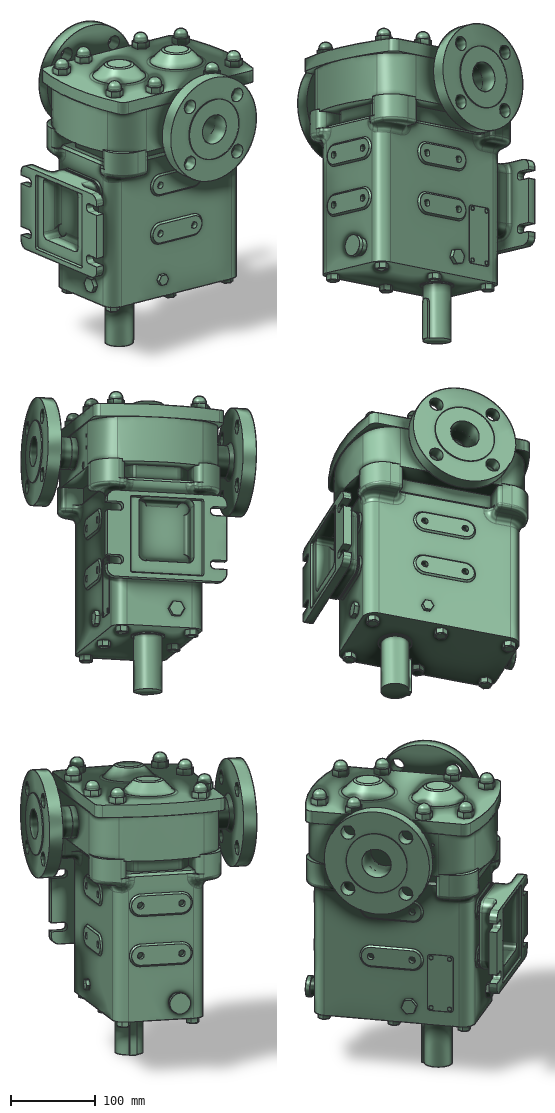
import cadquery as cq
import math

ROTOR_SPACING = 85.0
TOUCHING = 0.0005

SHAFT_Y = -ROTOR_SPACING / 2
SHAFT_RADIUS = 16.5
SEAL_RADIUS = 20.0
SEAL_HEIGHT = 1.5
KEY_WIDTH = 8.5
KEY_LENGTH = 48.5
KEY_REACH = 19.0
KEY_END_ROUNDING = 0.49

GEARBOX_BOTTOM = 67.5
GEARBOX_TOP = 245.0
GEARBOX_HALF_X = 55.0
GEARBOX_HALF_Y = 97.2
GEARBOX_CORNER = 15.3
GEARBOX_CHAMFER = 3.2

NECK_HALF_X = 52.0
NECK_HALF_Y = 87.0
NECK_END_HALF_X = 28.0
NECK_SIDE_HALF_Y = 62.0
NECK_NOTCH_X = 44.5
NECK_NOTCH_Y = 64.5
NECK_CORNER = 5.5

HOUSING_BOTTOM = 262.5
HOUSING_TOP = 316.0
HOUSING_HALF_X = 78.5
HOUSING_HALF_Y = 109.5
HOUSING_CORNER = 40.0
HOUSING_BULGE = 152.5

COVER_TOP = 331.0
COVER_HALF_X = 79.5
COVER_HALF_Y = 110.5
COVER_CORNER = 10.0
COVER_BULGE = 252.0

BOSS_BOTTOM = 233.0
BOSS_TOP = 265.3
BOSS_INNER_X = 42.2
BOSS_INNER_Y = 59.0
BOSS_OUTER_X = 78.5
BOSS_OUTER_Y = 104.0
BOSS_OUTER_CORNER = 28.5
BOSS_END_CORNER = 9.2
BOSS_INNER_CORNER = 7.0
BOSS_EDGE_FILLET = 5.0
BOSS_ROOT_FILLET = 10.0

DOME_FOOT_RADIUS = 34.8
DOME_BASE_RADIUS = 31.2
DOME_SHOULDER_RADIUS = 17.5
DOME_TOP_RADIUS = 14.2
DOME_FOOT_HEIGHT = 1.0
DOME_HEIGHT = 16.0

NUT_FLATS = 17.7
NUT_HEX_HEIGHT = 7.5
NUT_COLLAR_HEIGHT = 2.0
NUT_DOME_RADIUS = 8.0
CORNER_NUT_X = 50.7
CORNER_NUT_Y = 88.5
SIDE_NUT_X = 68.5

PORT_Z = 291.0
STUB_RADIUS = 19.0
STUB_END_X = 86.0
PORT_BORE_RADIUS = 17.7
FLANGE_BACK_X = 110.3
FLANGE_FRONT_X = 126.5
FLANGE_RADIUS = 64.0
RAISED_FACE_RADIUS = 37.0
RAISED_FACE_X = 128.0
HUB_RADIUS = 23.0
HUB_LENGTH = 5.0
FLANGE_HOLE_OFFSET = 35.0
FLANGE_HOLE_RADIUS = 8.35

PAD_LOWER_Z = 147.0
PAD_UPPER_Z = 207.0
PAD_LENGTH = 77.0
PAD_WIDTH = 27.3
PAD_HEIGHT = 2.0
PAD_SIDE_SLOPE = 45.0
PAD_HOLE_SPACING = 50.5
PAD_HOLE_RADIUS = 4.0
PAD_HOLE_DEPTH = 7.0

FOOT_FRONT_Y = -132.3
FOOT_PLATE_THICKNESS = 10.0
FOOT_HALF_X = 72.7
FOOT_BOTTOM = 117.0
FOOT_TOP = 220.5
FOOT_CORNER = 10.0
FOOT_SLOT_Z = (137.5, 202.0)
FOOT_SLOT_WIDTH = 10.5
FOOT_SLOT_INNER_X = 53.0
BOX_HALF_X = 39.0
BOX_BOTTOM = 132.5
BOX_CORNER = 14.0
BOX_REAR_FILLET = 4.3
BOX_ROOT_FILLET = 4.5
RECESS_HALF_X = 44.7
RECESS_BOTTOM = 122.7
RECESS_TOP = 215.3
RECESS_CORNER = 3.0
RECESS_DEPTH = 3.0
RECESS_INSET = 1.5
POCKET_WALL = 5.5
POCKET_FILLET = 6.0
POCKET_CORNER_RADIUS = 7.5

ACCESSORY_Z = 89.0
PLUG_X = 20.0
PLUG_FLATS = 16.3
PLUG_HEIGHT = 5.5
SIDE_PLUG_Y = -22.0
SIDE_PLUG_TURN = 10.0
SMALL_PLUG_FLATS = 12.0
SMALL_PLUG_HEIGHT = 4.5
GLASS_FLANGE_RADIUS = 12.6
GLASS_BODY_RADIUS = 10.5
GLASS_BODY_LENGTH = 8.0

BOTTOM_BOLT_X = 42.2
BOTTOM_BOLT_Y = 84.8
BOTTOM_BOLT_FLATS = 13.5
BOTTOM_BOLT_HEIGHT = 7.8
BOTTOM_BOLT_CHAMFER = 1.0

PLATE_Y = -59.2
PLATE_Z = 120.2
PLATE_WIDTH = 31.2
PLATE_HEIGHT = 70.2
PLATE_THICKNESS = 0.7
PLATE_CORNER = 3.5
RIVET_SPACING_Y = 22.5
RIVET_SPACING_Z = 62.5
RIVET_RADIUS = 2.5
RIVET_HEIGHT = 0.7

SENSOR_HOLE_Y = -55.7
SENSOR_HOLE_Z = (287.0, 301.0)
SENSOR_HOLE_RADIUS = 1.8
DRAIN_HOLE_Y = -41.0
DRAIN_HOLE_Z = 268.0
DRAIN_HOLE_RADIUS = 4.0
HOUSING_HOLE_DEPTH = 7.0


def span(x_range, y_range, z_range):
    """Box between the given limits on each axis."""
    size = [high - low for low, high in (x_range, y_range, z_range)]
    return cq.Workplane("XY", origin=(x_range[0], y_range[0], z_range[0])).box(*size, centered=False)


def face_plane(origin, normal):
    """Workplane on an upright face, with its local Y pointing up."""
    side = cq.Vector(0, 0, 1).cross(cq.Vector(*normal))
    return cq.Workplane(cq.Plane(origin, side.toTuple(), normal))


def hexagon(plane, flats, height, turn=0.0):
    """Hexagonal prism with corners on the local X axis, turned by an angle in degrees."""
    across_corners = flats / math.cos(math.pi / 6)
    return plane.transformed(rotate=(0, 0, turn)).polygon(6, across_corners).extrude(height)


def bowed_block(half_x, half_y, bulge, corner, bottom, top):
    """Block with flat X sides, bowed Y sides and rounded corners."""
    edge_y = half_y - bulge + math.sqrt(bulge**2 - half_x**2)
    block = (
        cq.Workplane("XY", origin=(0, 0, bottom))
        .moveTo(-half_x, -edge_y)
        .threePointArc((0, -half_y), (half_x, -edge_y))
        .lineTo(half_x, edge_y)
        .threePointArc((0, half_y), (-half_x, edge_y))
        .close()
        .extrude(top - bottom)
    )
    return block.edges("|Z").fillet(corner)


def gearbox():
    block = span(
        (-GEARBOX_HALF_X, GEARBOX_HALF_X),
        (-GEARBOX_HALF_Y, GEARBOX_HALF_Y),
        (GEARBOX_BOTTOM, GEARBOX_TOP),
    )
    return block.edges("|Z").fillet(GEARBOX_CORNER).faces(">Z").chamfer(GEARBOX_CHAMFER)


def corner_boss():
    """Boss under the (+X, +Y) corner of the rotor housing, blended into the gearbox wall."""
    wall_top = GEARBOX_TOP - GEARBOX_CHAMFER
    wall_bottom = BOSS_BOTTOM - 2 * BOSS_ROOT_FILLET
    wall = span((0, GEARBOX_HALF_X), (0, GEARBOX_HALF_Y), (wall_bottom, BOSS_TOP))
    wall = wall.edges("|Z and >X and >Y").fillet(GEARBOX_CORNER)

    overshoot = 2 * BOSS_ROOT_FILLET
    block = span(
        (BOSS_INNER_X, BOSS_OUTER_X + overshoot),
        (BOSS_INNER_Y, BOSS_OUTER_Y + overshoot),
        (BOSS_BOTTOM, BOSS_TOP),
    )
    block = block.edges("|Z and <X and <Y").fillet(BOSS_INNER_CORNER)
    block = block.faces("<Z").edges("not(>X or >Y)").fillet(BOSS_EDGE_FILLET)
    blend = wall.union(block)
    root_start = cq.Vertex.makeVertex(GEARBOX_HALF_X, BOSS_INNER_Y, (BOSS_BOTTOM + BOSS_TOP) / 2)
    root = [edge for edge in blend.edges("|Z").vals() if edge.distance(root_start) < TOUCHING]
    blend = blend.newObject(root).fillet(BOSS_ROOT_FILLET)

    trim = span((0, BOSS_OUTER_X), (0, BOSS_OUTER_Y), (wall_bottom, BOSS_TOP))
    boss = blend.intersect(trim.edges("|Z and >X and >Y").fillet(BOSS_OUTER_CORNER))
    boss = boss.faces(">X").edges("<Z").fillet(BOSS_EDGE_FILLET)

    outline = span((BOSS_INNER_X, BOSS_OUTER_X), (BOSS_INNER_Y, BOSS_OUTER_Y), (wall_top, BOSS_TOP))
    outline = outline.edges("|Z and <X and >Y").fillet(BOSS_END_CORNER)
    outline = outline.edges("|Z and <X and <Y").fillet(BOSS_INNER_CORNER)
    below = span((0, BOSS_OUTER_X), (0, BOSS_OUTER_Y), (wall_bottom, wall_top))
    return boss.intersect(outline.union(below))


def bosses():
    boss = corner_boss()
    pair = boss.union(boss.mirror("YZ"))
    return pair.union(pair.mirror("XZ"))


def neck():
    """Narrow part between the gearbox and the rotor housing."""
    quarter = [
        (0, 0),
        (NECK_HALF_X, 0),
        (NECK_HALF_X, NECK_SIDE_HALF_Y),
        (NECK_NOTCH_X, NECK_NOTCH_Y),
        (NECK_END_HALF_X, NECK_HALF_Y),
        (0, NECK_HALF_Y),
    ]
    block = cq.Workplane("XY", origin=(0, 0, GEARBOX_TOP)).polyline(quarter).close()
    block = block.extrude(HOUSING_BOTTOM - GEARBOX_TOP)
    block = block.union(block.mirror("YZ"))
    block = block.union(block.mirror("XZ")).clean()
    ends = block.faces("<Y or >Y").edges("|Z")
    return ends.fillet(NECK_CORNER).faces("<X or >X").edges("|Z").fillet(NECK_CORNER)


def rotor_housing():
    housing = bowed_block(
        HOUSING_HALF_X, HOUSING_HALF_Y, HOUSING_BULGE, HOUSING_CORNER, HOUSING_BOTTOM, HOUSING_TOP
    )
    side = -HOUSING_HALF_X
    for z in SENSOR_HOLE_Z:
        hole = face_plane((side, SENSOR_HOLE_Y, z), (1, 0, 0)).circle(SENSOR_HOLE_RADIUS)
        housing = housing.cut(hole.extrude(HOUSING_HOLE_DEPTH))
    drain = face_plane((side, DRAIN_HOLE_Y, DRAIN_HOLE_Z), (1, 0, 0)).circle(DRAIN_HOLE_RADIUS)
    return housing.cut(drain.extrude(HOUSING_HOLE_DEPTH))


def cover():
    return bowed_block(COVER_HALF_X, COVER_HALF_Y, COVER_BULGE, COVER_CORNER, HOUSING_TOP, COVER_TOP)


def rotor_dome(y):
    """Conical dome on the cover, over one rotor."""
    shoulder_height = DOME_FOOT_HEIGHT + DOME_BASE_RADIUS - DOME_SHOULDER_RADIUS
    profile = (
        cq.Workplane("XZ", origin=(0, y, COVER_TOP))
        .lineTo(DOME_FOOT_RADIUS, 0)
        .lineTo(DOME_BASE_RADIUS, DOME_FOOT_HEIGHT)
        .lineTo(DOME_SHOULDER_RADIUS, shoulder_height)
        .lineTo(DOME_TOP_RADIUS, DOME_HEIGHT)
        .lineTo(0, DOME_HEIGHT)
        .close()
    )
    return profile.revolve(360, (0, 0, 0), (0, 1, 0))


def cap_nut(x, y):
    """Hexagon nut with a collar and a round cap."""
    collar_top = COVER_TOP + NUT_HEX_HEIGHT + NUT_COLLAR_HEIGHT
    base = cq.Workplane("XY", origin=(x, y, COVER_TOP))
    collar = base.circle(NUT_DOME_RADIUS).extrude(NUT_HEX_HEIGHT + NUT_COLLAR_HEIGHT)
    cap = cq.Workplane("XY", origin=(x, y, collar_top)).sphere(NUT_DOME_RADIUS)
    return hexagon(base, NUT_FLATS, NUT_HEX_HEIGHT).union(collar).union(cap)


def port_stub(side):
    """Short pipe stub on the rotor housing; side is -1 or +1."""
    return face_plane((0, 0, PORT_Z), (side, 0, 0)).circle(STUB_RADIUS).extrude(STUB_END_X)


def mounting_pad(origin, normal):
    """Oblong pad with sloping sides."""
    return face_plane(origin, normal).slot2D(PAD_LENGTH, PAD_WIDTH).extrude(PAD_HEIGHT, taper=PAD_SIDE_SLOPE)


def pad_holes(origin, normal):
    """Cutter for the bolt holes of one pad, as deep as PAD_HOLE_DEPTH below the pad face."""
    outside = cq.Vector(*origin) + cq.Vector(*normal) * PAD_HEIGHT
    holes = face_plane(outside.toTuple(), normal).rarray(PAD_HOLE_SPACING, 3.5, 2, 1)
    return holes.circle(PAD_HOLE_RADIUS).extrude(-PAD_HOLE_DEPTH)


def foot_plate():
    plate = span(
        (-FOOT_HALF_X, FOOT_HALF_X),
        (FOOT_FRONT_Y, FOOT_FRONT_Y + FOOT_PLATE_THICKNESS),
        (FOOT_BOTTOM, FOOT_TOP),
    )
    plate = plate.edges("|Y").fillet(FOOT_CORNER)
    slot_length = 2 * (FOOT_HALF_X - FOOT_SLOT_INNER_X)
    for x in (-FOOT_HALF_X, FOOT_HALF_X):
        for z in FOOT_SLOT_Z:
            slot = face_plane((x, FOOT_FRONT_Y, z), (0, 1, 0)).slot2D(slot_length, FOOT_SLOT_WIDTH)
            plate = plate.cut(slot.extrude(FOOT_PLATE_THICKNESS))
    return plate


def foot():
    """Hollow mounting foot that stands on the two front pads."""
    rear = -GEARBOX_HALF_Y - 2 * PAD_HEIGHT
    plate_back = FOOT_FRONT_Y + FOOT_PLATE_THICKNESS
    box = span((-BOX_HALF_X, BOX_HALF_X), (plate_back, rear), (BOX_BOTTOM, FOOT_TOP))
    box = box.edges("|Y").fillet(BOX_CORNER).faces(">Y").edges().fillet(BOX_REAR_FILLET)
    body = foot_plate().union(box)
    root = cq.selectors.BoxSelector(
        (-BOX_HALF_X - TOUCHING, plate_back - TOUCHING, BOX_BOTTOM - TOUCHING),
        (BOX_HALF_X + TOUCHING, plate_back + TOUCHING, FOOT_TOP - TOUCHING),
    )
    body = body.edges(root).fillet(BOX_ROOT_FILLET)

    outline = cq.Sketch().rect(2 * RECESS_HALF_X, RECESS_TOP - RECESS_BOTTOM).vertices().fillet(RECESS_CORNER)
    recess = (
        face_plane((0, FOOT_FRONT_Y, (RECESS_BOTTOM + RECESS_TOP) / 2), (0, 1, 0))
        .placeSketch(outline)
        .extrude(RECESS_DEPTH, taper=math.degrees(math.atan(RECESS_INSET / RECESS_DEPTH)))
    )

    half_x = BOX_HALF_X - POCKET_WALL
    bottom = BOX_BOTTOM + POCKET_WALL
    top = FOOT_TOP - POCKET_WALL
    floor = rear - POCKET_WALL
    pocket = span((-half_x, half_x), (FOOT_FRONT_Y, floor), (bottom, top))
    pocket = pocket.edges("|Y").fillet(POCKET_CORNER_RADIUS).faces(">Y").edges().fillet(POCKET_FILLET)
    for x in (-half_x + POCKET_CORNER_RADIUS, half_x - POCKET_CORNER_RADIUS):
        for z in (bottom + POCKET_CORNER_RADIUS, top - POCKET_CORNER_RADIUS):
            corner = face_plane((x, FOOT_FRONT_Y, z), (0, 1, 0)).circle(POCKET_CORNER_RADIUS)
            pocket = pocket.union(corner.extrude(floor - FOOT_FRONT_Y))
    return body.cut(recess).cut(pocket)


def shaft():
    """Drive shaft with its seal ring and a round-ended key."""
    base = cq.Workplane("XY", origin=(0, SHAFT_Y, 0))
    rod = base.circle(SHAFT_RADIUS).extrude(GEARBOX_BOTTOM)
    ring = base.workplane(offset=GEARBOX_BOTTOM - SEAL_HEIGHT).circle(SEAL_RADIUS).extrude(SEAL_HEIGHT)
    key = span((-KEY_WIDTH / 2, KEY_WIDTH / 2), (SHAFT_Y, SHAFT_Y + KEY_REACH), (0, KEY_LENGTH))
    key = key.faces(">Z").edges("|Y").fillet(KEY_WIDTH * KEY_END_ROUNDING)
    return rod.union(ring).union(key)


def bottom_bolt(x, y):
    base = cq.Workplane("XY", origin=(x, y, GEARBOX_BOTTOM))
    bolt = hexagon(base, BOTTOM_BOLT_FLATS, -BOTTOM_BOLT_HEIGHT)
    return bolt.faces("<Z").chamfer(BOTTOM_BOLT_CHAMFER)


def plugs():
    """Hexagon plugs on the front face and on both sides of the gearbox."""
    front = face_plane((PLUG_X, -GEARBOX_HALF_Y, ACCESSORY_Z), (0, -1, 0))
    left = face_plane((-GEARBOX_HALF_X, SIDE_PLUG_Y, ACCESSORY_Z), (-1, 0, 0))
    right = face_plane((GEARBOX_HALF_X, SIDE_PLUG_Y, ACCESSORY_Z), (1, 0, 0))
    return [
        hexagon(front, PLUG_FLATS, PLUG_HEIGHT),
        hexagon(left, PLUG_FLATS, PLUG_HEIGHT, SIDE_PLUG_TURN),
        hexagon(right, SMALL_PLUG_FLATS, SMALL_PLUG_HEIGHT),
    ]


def sight_glass():
    """Round oil sight glass on the rear face."""
    base = face_plane((-PLUG_X, GEARBOX_HALF_Y, ACCESSORY_Z), (0, 1, 0))
    reach = COVER_HALF_Y - GEARBOX_HALF_Y
    body = base.circle(GLASS_BODY_RADIUS).extrude(reach)
    rim = base.workplane(offset=GLASS_BODY_LENGTH).circle(GLASS_FLANGE_RADIUS)
    return body.union(rim.extrude(reach - GLASS_BODY_LENGTH))


def name_plate():
    """Thin plate with four raised rivets on the -X side."""
    face = face_plane((-GEARBOX_HALF_X, PLATE_Y, PLATE_Z), (-1, 0, 0))
    plate = face.rect(PLATE_WIDTH, PLATE_HEIGHT).extrude(PLATE_THICKNESS).edges("|X").fillet(PLATE_CORNER)
    rivets = face.rarray(RIVET_SPACING_Y, RIVET_SPACING_Z, 2, 2).circle(RIVET_RADIUS)
    return plate.union(rivets.extrude(PLATE_THICKNESS + RIVET_HEIGHT))


def pump():
    body = gearbox().union(bosses()).union(neck()).union(rotor_housing()).union(cover())

    for side in (-1, 1):
        body = body.union(port_stub(side))
        body = body.union(rotor_dome(side * ROTOR_SPACING / 2))
        for end in (-1, 1):
            body = body.union(cap_nut(side * CORNER_NUT_X, end * CORNER_NUT_Y))
            body = body.union(cap_nut(side * SIDE_NUT_X, end * ROTOR_SPACING / 2))
        for y in (-BOTTOM_BOLT_Y, 0, BOTTOM_BOLT_Y):
            body = body.union(bottom_bolt(side * BOTTOM_BOLT_X, y))

    foot_rear = -GEARBOX_HALF_Y - 2 * PAD_HEIGHT
    for z in (PAD_LOWER_Z, PAD_UPPER_Z):
        for origin, normal in (
            ((-GEARBOX_HALF_X, 0, z), (-1, 0, 0)),
            ((GEARBOX_HALF_X, 0, z), (1, 0, 0)),
            ((0, GEARBOX_HALF_Y, z), (0, 1, 0)),
        ):
            body = body.union(mounting_pad(origin, normal)).cut(pad_holes(origin, normal))
        body = body.union(mounting_pad((0, -GEARBOX_HALF_Y, z), (0, -1, 0)))
        body = body.union(mounting_pad((0, foot_rear, z), (0, 1, 0)))

    for part in (foot(), shaft(), sight_glass(), name_plate(), *plugs()):
        body = body.union(part)
    return body


def port_flange(side):
    """Bored weld-neck flange on one port stub; side is -1 or +1."""
    profile = (
        cq.Workplane("XZ", origin=(0, 0, PORT_Z))
        .moveTo(side * STUB_END_X, PORT_BORE_RADIUS)
        .lineTo(side * STUB_END_X, STUB_RADIUS)
        .lineTo(side * (FLANGE_BACK_X - HUB_LENGTH), STUB_RADIUS)
        .lineTo(side * FLANGE_BACK_X, HUB_RADIUS)
        .lineTo(side * FLANGE_BACK_X, FLANGE_RADIUS)
        .lineTo(side * FLANGE_FRONT_X, FLANGE_RADIUS)
        .lineTo(side * FLANGE_FRONT_X, RAISED_FACE_RADIUS)
        .lineTo(side * RAISED_FACE_X, RAISED_FACE_RADIUS)
        .lineTo(side * RAISED_FACE_X, PORT_BORE_RADIUS)
        .close()
    )
    flange = profile.revolve(360, (0, 0, 0), (1, 0, 0))
    holes = (
        face_plane((0, 0, PORT_Z), (side, 0, 0))
        .workplane(offset=FLANGE_BACK_X)
        .rarray(2 * FLANGE_HOLE_OFFSET, 2 * FLANGE_HOLE_OFFSET, 2, 2)
        .circle(FLANGE_HOLE_RADIUS)
        .extrude(FLANGE_FRONT_X - FLANGE_BACK_X)
    )
    return flange.cut(holes)


flanges = [port_flange(side) for side in (-1, 1)]
result = cq.Compound.makeCompound([pump().val(), *[flange.val() for flange in flanges]])